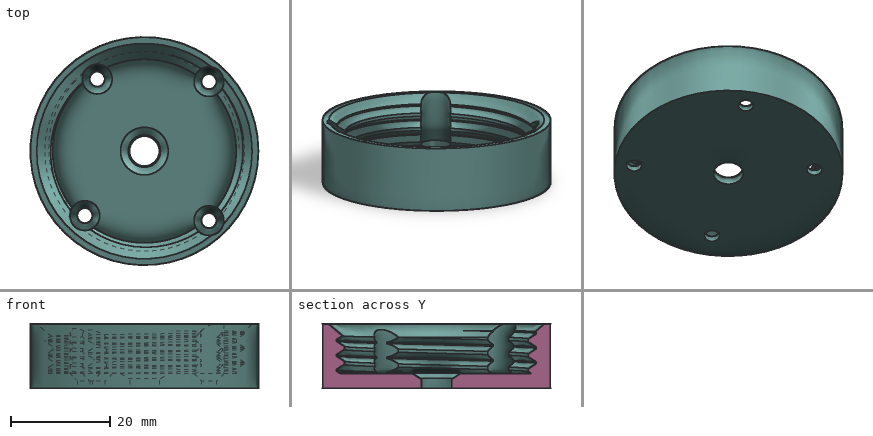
import cadquery as cq

outer_radius = 23.0
height = 13.0
floor_thickness = 3.0

thread_pitch = 3.0
thread_minor_radius = 18.5
thread_depth = 1.62
thread_crest_width = 0.65
thread_root_width = 0.25
groove_start_z = 2.15
groove_turns = 3.4
lead_in_top_radius = 21.7
lead_in_height = 2.75

center_hole_radius = 3.0
center_sink_bottom_radius = 3.25
center_sink_top_radius = 4.8
center_sink_depth = 1.0

screw_positions = [(13.0, 14.0), (-9.5, 14.5), (-12.0, -13.0), (13.0, -14.0)]
screw_hole_radius = 1.5
screw_head_radius = 3.0
screw_sink_depth = screw_head_radius - screw_hole_radius

overlap = 1.0
groove_mouth_reach = 0.2


def turned(points):
    """Solid of revolution about Z from (radius, z) points."""
    return cq.Workplane("XZ").polyline(points).close().revolve(360, (0, 0, 0), (0, 1, 0))


def floor():
    return cq.Workplane("XY").circle(outer_radius).extrude(floor_thickness)


def wall():
    """Ring standing on the floor, with the thread and then the lead-in cone cut into it."""
    ring = (
        cq.Workplane("XY", origin=(0, 0, floor_thickness))
        .circle(outer_radius)
        .circle(thread_minor_radius)
        .extrude(height - floor_thickness)
    )
    return ring.cut(thread_groove()).cut(lead_in_cone())


def lead_in_cone():
    """Cutter that flares the wall open from the thread to the rim."""
    start_z = height - lead_in_height
    return turned(
        [
            (0, start_z),
            (thread_minor_radius, start_z),
            (lead_in_top_radius, height),
            (lead_in_top_radius, height + overlap),
            (0, height + overlap),
        ]
    )


def thread_groove():
    """Helical trapezoid cutter; its mouth reaches a little inside the minor radius."""
    flank_slope = (thread_pitch - thread_crest_width - thread_root_width) / 2 / thread_depth
    root_radius = thread_minor_radius + thread_depth
    mouth_radius = thread_minor_radius - groove_mouth_reach
    half_root = thread_root_width / 2
    half_mouth = half_root + (root_radius - mouth_radius) * flank_slope
    helix = cq.Wire.makeHelix(thread_pitch, groove_turns * thread_pitch, thread_minor_radius)
    return (
        cq.Workplane("XZ")
        .polyline(
            [
                (mouth_radius, -half_mouth),
                (root_radius, -half_root),
                (root_radius, half_root),
                (mouth_radius, half_mouth),
            ]
        )
        .close()
        .sweep(cq.Workplane(obj=helix), isFrenet=True)
        .translate((0, 0, groove_start_z))
    )


def center_hole():
    """Cutter for the central bore and its countersink."""
    sink_bottom_z = floor_thickness - center_sink_depth
    return turned(
        [
            (0, -overlap),
            (center_hole_radius, -overlap),
            (center_hole_radius, sink_bottom_z),
            (center_sink_bottom_radius, sink_bottom_z),
            (center_sink_top_radius, floor_thickness),
            (0, floor_thickness),
        ]
    )


def screw_hole():
    """Cutter for one countersunk hole and the head clearance above it."""
    sink_bottom_z = floor_thickness - screw_sink_depth
    return turned(
        [
            (0, -overlap),
            (screw_hole_radius, -overlap),
            (screw_hole_radius, sink_bottom_z),
            (screw_head_radius, floor_thickness),
            (screw_head_radius, height + overlap),
            (0, height + overlap),
        ]
    )


result = floor().union(wall()).cut(center_hole())
for x, y in screw_positions:
    result = result.cut(screw_hole().translate((x, y, 0)))